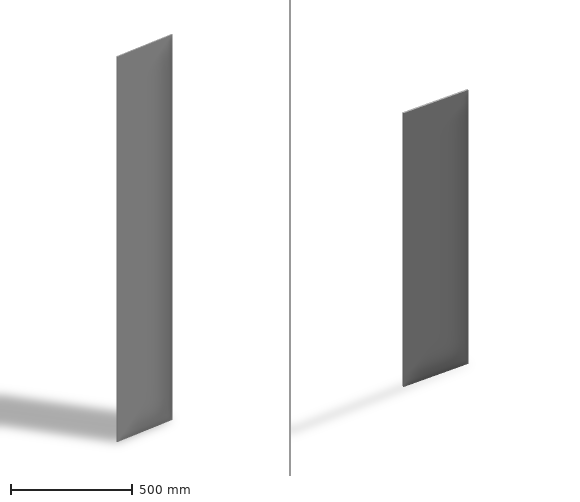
import cadquery as cq

thickness = 6.4
width = 295.0
height = 1829.0

result = cq.Workplane("XY").box(thickness, width, height)